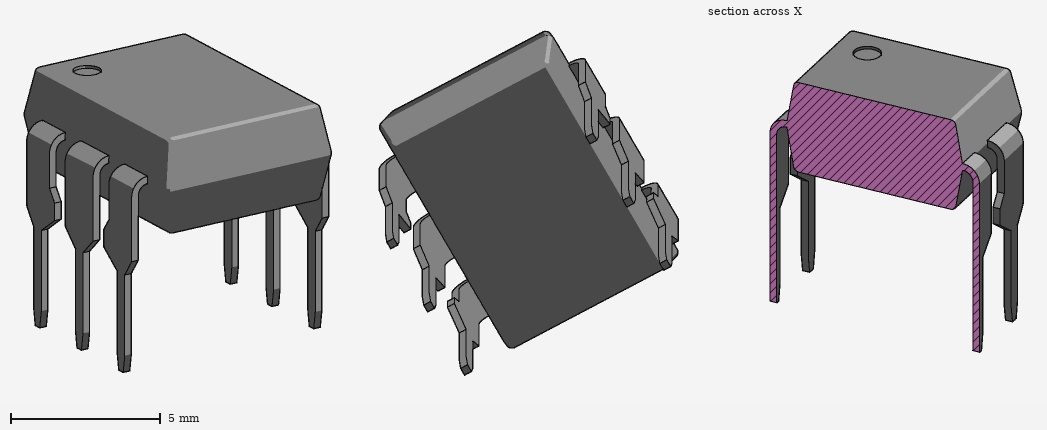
import cadquery as cq
import math


BODY_LENGTH = 8.88
BODY_WIDTH = 6.625
BODY_HEIGHT = 3.42
BELT_HEIGHT = 0.09
DRAFT_ANGLE = 10.0
EDGE_RADIUS = 0.2

MARK_DIAMETER = 0.95
MARK_DEPTH = 0.1
MARK_X = -2.86
MARK_Y = -1.74

OVERALL_HEIGHT = 8.58
LEAD_SPAN = 7.87
LEAD_PITCH = 2.54
LEAD_THICKNESS = 0.27
LEAD_TOP_Z = 0.15
LEAD_EMBED = 0.44
BLADE_WIDTH = 1.705
STEM_WIDTH = 0.47
TIP_WIDTH = 0.275
TIP_LENGTH = 0.62
OUTER_LEAD_EDGE_X = 3.2
TAB_WIDTH = 0.31

TAB_ROOT_Z = -1.705
TAB_TOP_Z = -2.14
BLADE_END_Z = -2.76
STEM_START_Z = -3.365

HALF_HEIGHT = BODY_HEIGHT / 2
HALF_BELT = BELT_HEIGHT / 2
LEAD_TIP_Z = HALF_HEIGHT - OVERALL_HEIGHT
TIP_START_Z = LEAD_TIP_Z + TIP_LENGTH


def make_body():
    """Belt with a drafted block above and below, all edges rounded except those of the belt."""
    belt = cq.Workplane("XY").box(BODY_LENGTH, BODY_WIDTH, BELT_HEIGHT)
    upper_half = (
        cq.Workplane("XY")
        .workplane(offset=HALF_BELT)
        .rect(BODY_LENGTH, BODY_WIDTH)
        .extrude(HALF_HEIGHT - HALF_BELT, taper=DRAFT_ANGLE)
    )
    lower_half = upper_half.mirror("XY")
    body = belt.union(upper_half).union(lower_half)
    corners = body.edges("not #Z")
    return corners.add(body.faces("<Z or >Z").edges()).fillet(EDGE_RADIUS)


def cut_pin_mark(body):
    mark = (
        cq.Workplane("XY", origin=(MARK_X, MARK_Y, HALF_HEIGHT - MARK_DEPTH))
        .circle(MARK_DIAMETER / 2)
        .extrude(MARK_DEPTH)
    )
    return body.cut(mark)


def make_bent_strip():
    """Sheet as long as the body that leaves its front face and bends a quarter turn downwards."""
    face_y = -BODY_WIDTH / 2
    inside_y = face_y + LEAD_EMBED
    outer_y = -LEAD_SPAN / 2
    inner_y = outer_y + LEAD_THICKNESS
    outer_radius = face_y - outer_y
    inner_radius = outer_radius - LEAD_THICKNESS
    bend_z = LEAD_TOP_Z - outer_radius
    diagonal = math.sqrt(0.5)
    outer_mid = (face_y - outer_radius * diagonal, bend_z + outer_radius * diagonal)
    inner_mid = (face_y - inner_radius * diagonal, bend_z + inner_radius * diagonal)
    return (
        cq.Workplane("YZ")
        .moveTo(inside_y, LEAD_TOP_Z)
        .lineTo(face_y, LEAD_TOP_Z)
        .threePointArc(outer_mid, (outer_y, bend_z))
        .lineTo(outer_y, LEAD_TIP_Z)
        .lineTo(inner_y, LEAD_TIP_Z)
        .lineTo(inner_y, bend_z)
        .threePointArc(inner_mid, (face_y, LEAD_TOP_Z - LEAD_THICKNESS))
        .lineTo(inside_y, LEAD_TOP_Z - LEAD_THICKNESS)
        .close()
        .extrude(BODY_LENGTH / 2, both=True)
    )


def make_lead(strip, stem_x, left_edge, right_edge):
    """Trim the strip to one lead: blade edges, listed from the top down, that run into a stem."""
    stem_half = STEM_WIDTH / 2
    tip_half = TIP_WIDTH / 2
    left_stem = [
        (stem_x - stem_half, STEM_START_Z),
        (stem_x - stem_half, TIP_START_Z),
        (stem_x - tip_half, LEAD_TIP_Z),
    ]
    right_stem = [
        (stem_x + tip_half, LEAD_TIP_Z),
        (stem_x + stem_half, TIP_START_Z),
        (stem_x + stem_half, STEM_START_Z),
    ]
    outline = left_edge + left_stem + right_stem + right_edge[::-1]
    blank = cq.Workplane("XZ").polyline(outline).close().extrude(LEAD_SPAN)
    return strip.intersect(blank)


def straight_edge(x):
    return [(x, LEAD_TOP_Z), (x, BLADE_END_Z)]


def make_middle_lead(strip):
    half_width = BLADE_WIDTH / 2
    return make_lead(strip, 0, straight_edge(-half_width), straight_edge(half_width))


def make_left_lead(strip):
    """End lead with a tab on its right side."""
    left_x = -OUTER_LEAD_EDGE_X
    tab_x = left_x + BLADE_WIDTH
    neck_x = tab_x - TAB_WIDTH
    tabbed_edge = [
        (neck_x, LEAD_TOP_Z),
        (neck_x, TAB_ROOT_Z),
        (tab_x, TAB_TOP_Z),
        (tab_x, BLADE_END_Z),
    ]
    return make_lead(strip, -LEAD_PITCH, straight_edge(left_x), tabbed_edge)


def add_leads(body):
    strip = make_bent_strip()
    left_lead = make_left_lead(strip)
    front_row = [left_lead, make_middle_lead(strip), left_lead.mirror("YZ")]
    for lead in front_row:
        body = body.union(lead).union(lead.mirror("XZ"))
    return body


result = add_leads(cut_pin_mark(make_body()))